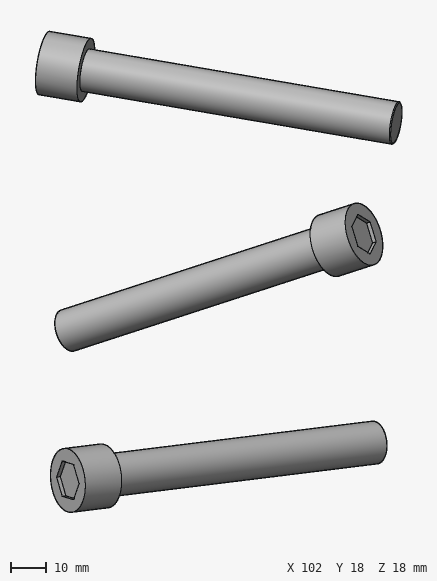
import cadquery as cq
import math

total_length = 102.0
head_diameter = 18.0
shank_diameter = 12.0
head_length = shank_diameter
tip_chamfer = 0.3
socket_across_flats = 10.0
socket_depth = 1.2

head_face_x = -total_length / 2


def make_cylinder(diameter, length):
    """Cylinder along X that starts at the outer face of the head."""
    return cq.Workplane("YZ", origin=(head_face_x, 0, 0)).circle(diameter / 2).extrude(length)


def make_socket():
    """Hexagonal prism with two flats facing up and down."""
    across_corners = socket_across_flats / math.cos(math.pi / 6)
    return (
        cq.Workplane("YZ", origin=(head_face_x, 0, 0))
        .polygon(6, across_corners)
        .extrude(socket_depth)
    )


shank = make_cylinder(shank_diameter, total_length).faces(">X").chamfer(tip_chamfer)
head = make_cylinder(head_diameter, head_length)
result = head.union(shank).cut(make_socket())